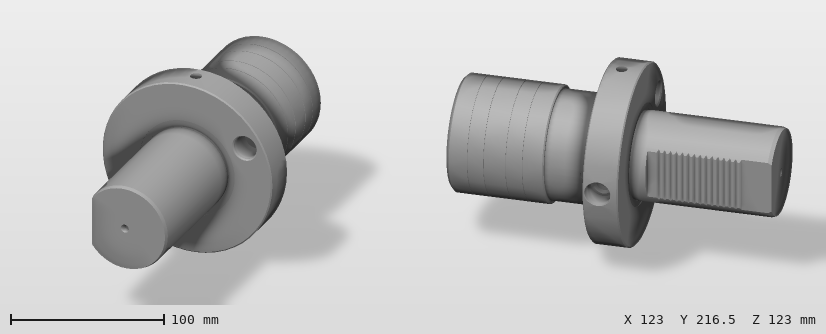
import cadquery as cq
import math


overall_length = 216.5
shank_length = 94.2
flange_thickness = 23.8
head_length = 66.2
head_end_y = overall_length - shank_length
head_start_y = head_end_y - head_length

shank_diameter = 60.0
flange_diameter = 123.0
neck_diameter = 74.0
head_diameter = 79.0

shank_chamfer_length = 2.5
shank_chamfer_depth = 0.9
flange_chamfer = 0.9
head_front_chamfer = 2.4
head_back_chamfer = 0.9

head_groove_offsets = (14.7, 25.8, 40.7, 52.0)
head_groove_width = 0.5
head_groove_depth = 0.5

ring_outer_diameter = 69.0
ring_depth = 0.5
undercut_outer_diameter = 61.3
undercut_depth = 0.9

relief_length = 4.0
relief_step_y = -1.3
relief_root_y = -0.6
relief_step_depth = 0.2
relief_root_depth = 0.5

flat_start_y = -10.5
tooth_tip_x = -25.0
tooth_root_x = -23.5
tooth_depth = tooth_root_x - tooth_tip_x
first_valley_y = -18.0
valley_count = 14
serration_length = 56.0
tooth_pitch = serration_length / valley_count
end_flat_y = first_valley_y - serration_length

radial_hole_y = 13.6
inlet_diameter = 17.3
inlet_chamfer = 0.5
inlet_depth = 15.2
inlet_seat_diameter = 13.6
inlet_core_diameter = 10.2
inlet_seat_angle = 90.0
inlet_core_depth = 6.5
top_hole_diameter = 7.8
top_hole_depth = 13.0

pin_hole_x = 41.8
pin_hole_z = 24.0
pin_hole_diameter = 16.2
pin_hole_chamfer = 0.9
pin_hole_depth = 17.3

plug_y = 28.8
plug_diameter = 5.0
plug_groove_diameter = 6.3
plug_groove_depth = 0.9

center_mouth_diameter = 5.8
center_pilot_diameter = 2.5
center_pilot_depth = 4.3
center_cone_angle = 60.0

drill_point_angle = 118.0

along_x = cq.Vector(1, 0, 0)
along_y = cq.Vector(0, 1, 0)
along_z = cq.Vector(0, 0, 1)


def turned_profile(points):
    """Solid of revolution about Y from (radius, y) points."""
    return cq.Workplane("XY").polyline(points).close().revolve(360, (0, 0), (0, 1))


def cone_length(start_diameter, end_diameter, included_angle):
    """Axial length of a cone between two diameters."""
    return (start_diameter - end_diameter) / 2 / math.tan(math.radians(included_angle / 2))


def cylinder(diameter, length, start, direction):
    return cq.Workplane(cq.Solid.makeCylinder(diameter / 2, length, start, direction))


def cone(start_diameter, end_diameter, length, start, direction):
    return cq.Workplane(cq.Solid.makeCone(start_diameter / 2, end_diameter / 2, length, start, direction))


def make_body():
    shank_r = shank_diameter / 2
    flange_r = flange_diameter / 2
    neck_r = neck_diameter / 2
    head_r = head_diameter / 2
    return turned_profile([
        (0, -shank_length),
        (shank_r - shank_chamfer_depth, -shank_length),
        (shank_r, -shank_length + shank_chamfer_length),
        (shank_r, -relief_length),
        (shank_r - relief_step_depth, relief_step_y),
        (shank_r - relief_root_depth, relief_root_y),
        (shank_r - relief_root_depth, undercut_depth),
        (undercut_outer_diameter / 2, undercut_depth),
        (undercut_outer_diameter / 2, ring_depth),
        (ring_outer_diameter / 2, ring_depth),
        (ring_outer_diameter / 2, 0),
        (flange_r - flange_chamfer, 0),
        (flange_r, flange_chamfer),
        (flange_r, flange_thickness - flange_chamfer),
        (flange_r - flange_chamfer, flange_thickness),
        (neck_r, flange_thickness),
        (neck_r, head_start_y),
        (head_r - head_back_chamfer, head_start_y),
        (head_r, head_start_y + head_back_chamfer),
        (head_r, head_end_y - head_front_chamfer),
        (head_r - head_front_chamfer, head_end_y),
        (0, head_end_y),
    ])


def head_groove_cutter(center_y):
    floor_r = head_diameter / 2 - head_groove_depth
    outside_r = head_diameter
    low_y = center_y - head_groove_width / 2
    high_y = center_y + head_groove_width / 2
    return turned_profile([(floor_r, low_y), (outside_r, low_y), (outside_r, high_y), (floor_r, high_y)])


def flat_cutter():
    outside_x = -shank_diameter
    points = [(outside_x, flat_start_y), (tooth_tip_x, flat_start_y)]
    for i in range(valley_count):
        valley_y = first_valley_y - i * tooth_pitch
        points.append((tooth_tip_x, valley_y + tooth_depth))
        points.append((tooth_root_x, valley_y))
        points.append((tooth_tip_x, valley_y - tooth_depth))
    points.append((tooth_tip_x, end_flat_y + tooth_depth))
    points.append((tooth_root_x, end_flat_y))
    points.append((tooth_root_x, -overall_length))
    points.append((outside_x, -overall_length))
    return cq.Workplane("XY").polyline(points).close().extrude(shank_diameter, both=True)


def inlet_cutter():
    """Stepped inlet on the -X side of the flange, with a conical seat at its floor."""
    mouth = cq.Vector(-flange_diameter / 2, radial_hole_y, 0)
    mouth_diameter = inlet_diameter + 2 * inlet_chamfer
    seat = mouth + along_x * inlet_depth
    seat_length = cone_length(inlet_seat_diameter, inlet_core_diameter, inlet_seat_angle)
    cutter = cylinder(inlet_diameter, inlet_depth, mouth, along_x)
    cutter = cutter.union(cone(mouth_diameter, inlet_diameter, inlet_chamfer, mouth, along_x))
    cutter = cutter.union(cone(inlet_seat_diameter, inlet_core_diameter, seat_length, seat, along_x))
    return cutter.union(cylinder(inlet_core_diameter, inlet_core_depth, seat, along_x))


def top_hole_cutter():
    """Drilled hole with a conical point, going down from the top of the flange."""
    mouth = cq.Vector(0, radial_hole_y, flange_diameter / 2)
    floor = mouth - along_z * top_hole_depth
    point_length = cone_length(top_hole_diameter, 0, drill_point_angle)
    cutter = cylinder(top_hole_diameter, top_hole_depth, mouth, -along_z)
    return cutter.union(cone(top_hole_diameter, 0, point_length, floor, -along_z))


def pin_hole_cutter():
    mouth = cq.Vector(pin_hole_x, 0, pin_hole_z)
    mouth_diameter = pin_hole_diameter + 2 * pin_hole_chamfer
    cutter = cylinder(pin_hole_diameter, pin_hole_depth, mouth, along_y)
    return cutter.union(cone(mouth_diameter, pin_hole_diameter, pin_hole_chamfer, mouth, along_y))


def plug_groove_cutter(side):
    """Ring-shaped groove in the neck; side is -1 or 1 along X."""
    floor = cq.Vector(side * (neck_diameter / 2 - plug_groove_depth), plug_y, 0)
    outward = along_x * side
    outer = cylinder(plug_groove_diameter, neck_diameter, floor, outward)
    return outer.cut(cylinder(plug_diameter, neck_diameter, floor, outward))


def center_drilling_cutter():
    mouth = cq.Vector(0, -shank_length, 0)
    taper_length = cone_length(center_mouth_diameter, center_pilot_diameter, center_cone_angle)
    cutter = cone(center_mouth_diameter, center_pilot_diameter, taper_length, mouth, along_y)
    return cutter.union(cylinder(center_pilot_diameter, taper_length + center_pilot_depth, mouth, along_y))


result = make_body()

for offset in head_groove_offsets:
    result = result.cut(head_groove_cutter(head_end_y - offset))

result = result.cut(flat_cutter())
result = result.cut(inlet_cutter())
result = result.cut(top_hole_cutter())
result = result.cut(pin_hole_cutter())

for side in (-1, 1):
    result = result.cut(plug_groove_cutter(side))

result = result.cut(center_drilling_cutter())